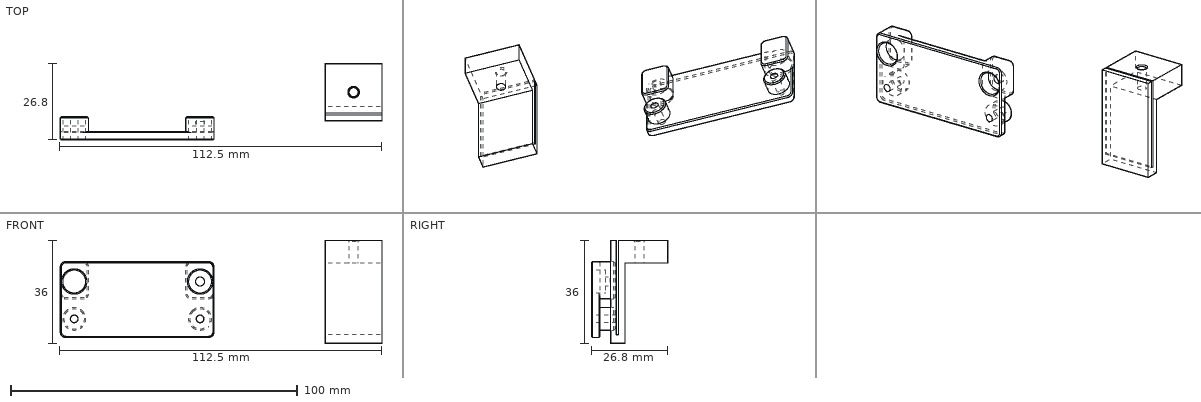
import cadquery as cq

overall_length = 112.5
bracket_front_y = 6.8
bracket_bottom_z = -2.0

plate_length = 53.8
plate_height = 26.6
plate_thickness = 3.0
corner_radius = 1.9
edge_chamfer = 0.5

pad_length = 9.9
pad_height = 13.0
pad_rise = 5.2
boss_diameter = 8.0
plate_depth = plate_thickness + pad_rise

hole_spacing_x = 44.0
lower_hole_z = 6.5
pocket_z = 19.6
boss_hole_diameter = 2.6
pocket_diameter = 8.0
pocket_chamfer = 0.5
pocket_depth = 5.0
pilot_diameter = 3.2
pilot_depth = 1.6
left_hole_x = (plate_length - hole_spacing_x) / 2
right_hole_x = left_hole_x + hole_spacing_x

bracket_width = 19.9
bracket_depth = 20.0
bracket_height = 36.0
arm_thickness = 8.0
leg_thickness = 5.1
slot_width = 0.7
slot_front_wall = 2.0
slot_floor = 3.0
arm_hole_diameter = 3.2
arm_hole_chamfer = 0.5
countersink_angle = 90


def rounded_block(x, z, length, height, depth):
    """Block standing on y = 0, with its four corners rounded and its back edges chamfered."""
    return (
        cq.Workplane("XY")
        .box(length, depth, height, centered=False)
        .edges("|Y")
        .fillet(corner_radius)
        .faces(">Y")
        .chamfer(edge_chamfer)
        .translate((x, 0, z))
    )


def cylinder_along_y(x, y, z, diameter, depth):
    """Cylinder that starts at y and extends toward +Y."""
    axis = cq.Vector(0, 1, 0)
    return cq.Workplane(cq.Solid.makeCylinder(diameter / 2, depth, cq.Vector(x, y, z), axis))


def make_pocket(x):
    """Cutter for a blind pocket with a chamfered mouth in the plate's front face."""
    pocket = cylinder_along_y(x, 0, pocket_z, pocket_diameter, pocket_depth)
    mouth = cq.Solid.makeCone(
        pocket_diameter / 2 + pocket_chamfer,
        pocket_diameter / 2,
        pocket_chamfer,
        cq.Vector(x, 0, pocket_z),
        cq.Vector(0, 1, 0),
    )
    return pocket.union(cq.Workplane(mouth))


def make_plate():
    plate = rounded_block(0, 0, plate_length, plate_height, plate_thickness)
    plate = plate.faces("<Y").chamfer(edge_chamfer)

    for x in (0, plate_length - pad_length):
        pad = rounded_block(x, plate_height - pad_height, pad_length, pad_height, plate_depth)
        pad = pad.faces("<Y").chamfer(edge_chamfer)
        plate = plate.union(pad)

    for x in (left_hole_x, right_hole_x):
        boss_start = plate_thickness / 2
        boss = cylinder_along_y(x, boss_start, lower_hole_z, boss_diameter, plate_depth - boss_start)
        plate = plate.union(boss.faces(">Y").chamfer(edge_chamfer))
        plate = plate.cut(cylinder_along_y(x, 0, lower_hole_z, boss_hole_diameter, plate_depth))
        plate = plate.cut(make_pocket(x))

    return plate.cut(cylinder_along_y(right_hole_x, pocket_depth, pocket_z, pilot_diameter, pilot_depth))


def make_bracket():
    profile = [
        (0, 0),
        (leg_thickness, 0),
        (leg_thickness, bracket_height - arm_thickness),
        (bracket_depth, bracket_height - arm_thickness),
        (bracket_depth, bracket_height),
        (0, bracket_height),
    ]
    bracket = cq.Workplane("YZ").polyline(profile).close().extrude(bracket_width)

    slot = (
        cq.Workplane("XY")
        .box(bracket_width, slot_width, bracket_height - slot_floor, centered=False)
        .translate((0, slot_front_wall, slot_floor))
    )
    bracket = bracket.cut(slot)

    bracket = (
        bracket.faces(">Z")
        .workplane(origin=(bracket_width / 2, bracket_depth / 2, bracket_height))
        .cskHole(arm_hole_diameter, arm_hole_diameter + 2 * arm_hole_chamfer, countersink_angle)
    )
    return bracket.translate((overall_length - bracket_width, bracket_front_y, bracket_bottom_z))


plate = make_plate()
bracket = make_bracket()

result = cq.Compound.makeCompound([plate.val(), bracket.val()])